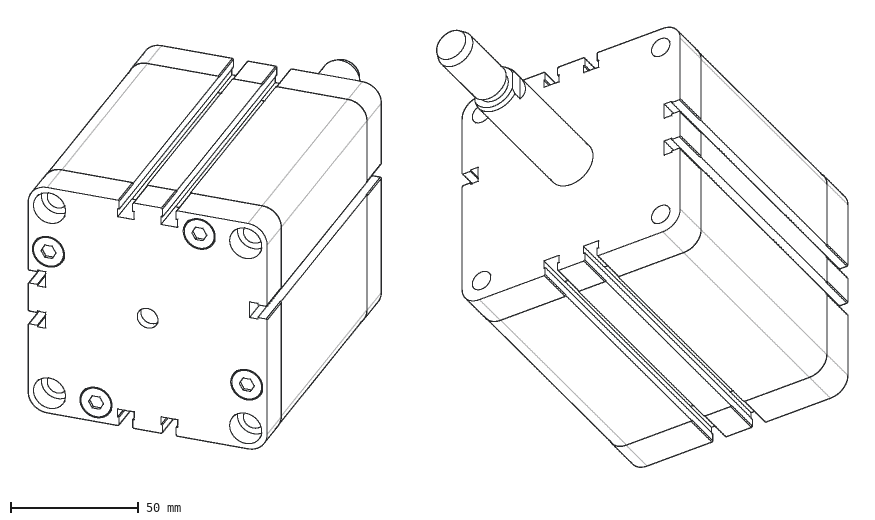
import cadquery as cq
import math

overall_length = 216.0
housing_side = 100.0
housing_length = 126.0
housing_corner_radius = 8.0
cover_length = 15.8
tube_recess = 0.1
half_side = housing_side / 2

slot_mouth_width = 5.6
slot_lip_depth = 3.9
slot_inner_width = 7.0
slot_depth = 7.3
slot_mouth_chamfer = 0.5
slot_offset = 9.0
single_slot_offset = 11.9

mount_hole_offset = 41.0
mount_hole_diameter = 8.5
mount_counterbore_diameter = 13.5
mount_counterbore_depth = 8.6

center_hole_diameter = 8.6
center_hole_depth = 3.9

screw_edge_offset = 41.5
screw_side_offset = 21.5
screw_seat_diameter = 13.5
screw_head_diameter = 12.5
screw_head_height = 5.0
socket_across_flats = 5.5
socket_depth = 1.3

rod_diameter = 20.0
rod_chamfer_length = 2.0
rod_chamfer_depth = 0.6
thread_diameter = 16.0
thread_end_length = 32.0
neck_diameter = 13.5
neck_length = 3.0
thread_taper_length = 0.6
tip_chamfer_length = 3.2
tip_diameter = 13.5

flats_width = 17.0
flats_length = 5.8

shoulder_y = overall_length - thread_end_length


def rear_circles(centers, diameter, depth):
    """Cylinders reaching from the rear face into the housing."""
    return cq.Workplane("XZ").pushPoints(centers).circle(diameter / 2).extrude(-depth)


def t_slot(offset, side_angle, side, start_y, length, mouth_chamfer):
    """Cutter for a T-slot in the top of a block, turned about Y by side_angle degrees."""
    top_z = side / 2
    lip_z = half_side - slot_lip_depth
    floor_z = top_z - slot_depth
    mouth = slot_mouth_width / 2
    inner = slot_inner_width / 2
    right_edge = [(inner, floor_z), (inner, lip_z), (mouth, lip_z)]
    if mouth_chamfer > 0:
        right_edge += [(mouth, top_z - mouth_chamfer), (mouth + mouth_chamfer, top_z)]
    else:
        right_edge += [(mouth, top_z)]
    left_edge = [(-x, z) for x, z in reversed(right_edge)]
    return (
        cq.Workplane("XZ", origin=(offset, start_y, 0))
        .polyline(right_edge + left_edge)
        .close()
        .extrude(-length)
        .rotate((0, 0, 0), (0, 1, 0), side_angle)
    )


def slotted_block(side, start_y, length, mouth_chamfer):
    """A stretch of the housing: a rounded square block with its T-slots."""
    block = (
        cq.Workplane("XZ", origin=(0, start_y, 0))
        .rect(side, side)
        .extrude(-length)
        .edges("|Y")
        .fillet(housing_corner_radius)
    )
    slots = [(offset, angle) for angle in (0, 180, 270) for offset in (-slot_offset, slot_offset)]
    slots.append((-single_slot_offset, 90))
    for offset, angle in slots:
        block = block.cut(t_slot(offset, angle, side, start_y, length, mouth_chamfer))
    return block


def make_housing():
    tube_length = housing_length - 2 * cover_length
    tube_side = housing_side - 2 * tube_recess
    housing = slotted_block(tube_side, cover_length, tube_length, 0)
    for start_y in (0, housing_length - cover_length):
        housing = housing.union(slotted_block(housing_side, start_y, cover_length, slot_mouth_chamfer))
    return housing


def cut_rear_holes(housing):
    corners = [(x, z) for x in (-mount_hole_offset, mount_hole_offset)
               for z in (-mount_hole_offset, mount_hole_offset)]
    housing = housing.cut(rear_circles(corners, mount_hole_diameter, housing_length))
    housing = housing.cut(rear_circles(corners, mount_counterbore_diameter, mount_counterbore_depth))
    return housing.cut(rear_circles([(0, 0)], center_hole_diameter, center_hole_depth))


def cut_cover_screws(housing):
    """Cut a ring gap around each of the four screw heads and a hexagon socket into it."""
    centers = [
        (screw_side_offset, screw_edge_offset),
        (screw_edge_offset, -screw_side_offset),
        (-screw_side_offset, -screw_edge_offset),
        (-screw_edge_offset, screw_side_offset),
    ]
    seats = rear_circles(centers, screw_seat_diameter, screw_head_height)
    heads = rear_circles(centers, screw_head_diameter, screw_head_height)
    sockets = (
        cq.Workplane("XZ")
        .pushPoints(centers)
        .polygon(6, socket_across_flats / math.cos(math.pi / 6))
        .extrude(-socket_depth)
    )
    return housing.cut(seats.cut(heads)).cut(sockets)


def make_rod():
    rod_radius = rod_diameter / 2
    thread_start_y = shoulder_y + neck_length
    rod = (
        cq.Workplane("XY")
        .moveTo(0, housing_length)
        .lineTo(rod_radius, housing_length)
        .lineTo(rod_radius, shoulder_y - rod_chamfer_length)
        .lineTo(rod_radius - rod_chamfer_depth, shoulder_y)
        .lineTo(neck_diameter / 2, shoulder_y)
        .lineTo(neck_diameter / 2, thread_start_y)
        .lineTo(thread_diameter / 2, thread_start_y + thread_taper_length)
        .lineTo(thread_diameter / 2, overall_length - tip_chamfer_length)
        .lineTo(tip_diameter / 2, overall_length)
        .lineTo(0, overall_length)
        .close()
        .revolve(360, (0, 0, 0), (0, 1, 0))
    )
    flat_x = flats_width / 2
    flat_end_y = shoulder_y - flats_length
    runout = rod_radius - flat_x
    flat = (
        cq.Workplane("XY")
        .moveTo(flat_x, shoulder_y)
        .lineTo(flat_x, flat_end_y)
        .lineTo(flat_x + runout, flat_end_y - runout)
        .lineTo(flat_x + runout, shoulder_y)
        .close()
        .extrude(rod_radius, both=True)
    )
    return rod.cut(flat).cut(flat.mirror("YZ"))


housing = cut_cover_screws(cut_rear_holes(make_housing()))
result = housing.union(make_rod())